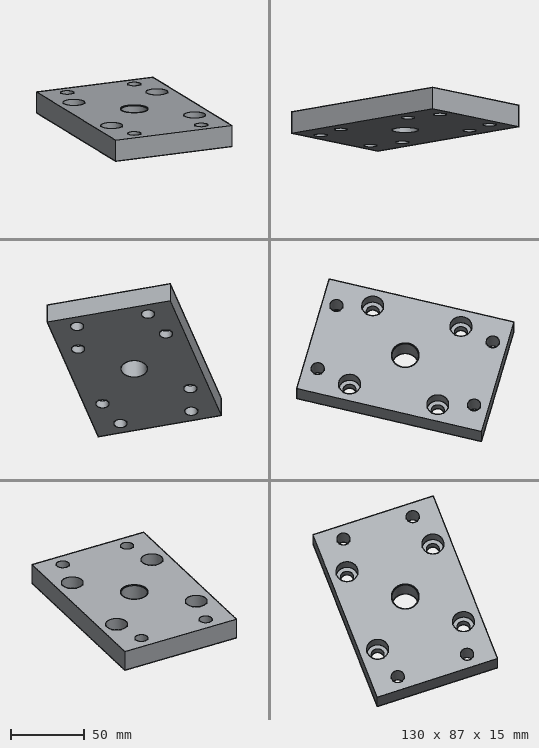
import cadquery as cq

length = 130.0
width = 87.0
thickness = 15.0

bore_diameter = 18.0
bore_chamfer = 0.5

hole_diameter = 9.0
end_hole_spacing_x = 110.0
end_hole_spacing_y = 50.0

square_spacing = 62.0
counterbore_diameter = 15.0
counterbore_depth = 9.0


def top_hole_pattern(plate, spacing_x, spacing_y):
    """Select the four hole centres of a rectangular pattern on the top face."""
    return (
        plate.faces(">Z")
        .workplane(origin=(0, 0, thickness))
        .rarray(spacing_x, spacing_y, 2, 2)
    )


plate = cq.Workplane("XY").box(length, width, thickness, centered=(True, True, False))

plate = plate.faces(">Z").workplane(origin=(0, 0, thickness)).hole(bore_diameter)
plate = plate.faces(">Z").edges("%CIRCLE").chamfer(bore_chamfer)

plate = top_hole_pattern(plate, end_hole_spacing_x, end_hole_spacing_y).hole(hole_diameter)
plate = top_hole_pattern(plate, square_spacing, square_spacing).cboreHole(
    hole_diameter, counterbore_diameter, counterbore_depth
)

result = plate